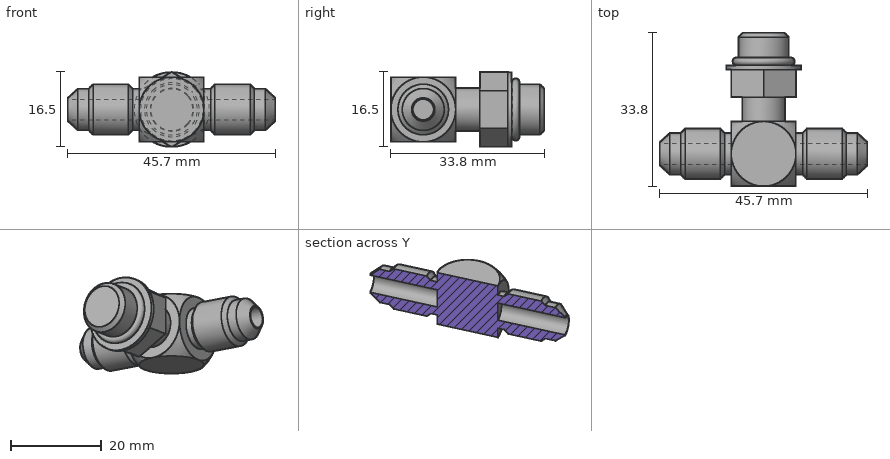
import cadquery as cq
import math

arm_length = 22.85
nose_cone_length = 2.25
collar_outer_end = 18.25
collar_inner_end = 8.6
nose_tip_radius = 2.55
neck_radius = 4.6
collar_radius = 5.6
collar_chamfer = collar_radius - neck_radius
bore_radius = 2.3

body_size = 14.25
body_half = body_size / 2

nut_start = 12.5
nut_end = 18.55
washer_end = 19.48
stem_length = 26.65
stem_neck_radius = 4.75
port_radius = 5.6
port_chamfer = 0.95
nut_corner_diameter = 16.5
o_ring_section_radius = 0.85
o_ring_outer_radius = 6.85


def cylinder_along_y(radius, start, end):
    return cq.Workplane("XZ", origin=(0, start, 0)).circle(radius).extrude(start - end)


def make_body():
    """Cube whose faces are trimmed to circles by a sphere touching its edges."""
    cube = cq.Workplane("XY").box(body_size, body_size, body_size)
    return cube.intersect(cq.Workplane("XY").sphere(body_half * math.sqrt(2)))


def make_arm():
    """Flared arm along +X with a blind bore that stops at the body face."""
    profile = [
        (0, 0),
        (0, neck_radius),
        (collar_inner_end, neck_radius),
        (collar_inner_end + collar_chamfer, collar_radius),
        (collar_outer_end - collar_chamfer, collar_radius),
        (collar_outer_end, neck_radius),
        (arm_length - nose_cone_length, neck_radius),
        (arm_length, nose_tip_radius),
        (arm_length, 0),
    ]
    arm = cq.Workplane("XY").polyline(profile).close().revolve(360, (0, 0, 0), (1, 0, 0))
    bore_depth = arm_length - body_half
    bore = cq.Workplane("YZ", origin=(body_half, 0, 0)).circle(bore_radius).extrude(bore_depth)
    return arm.cut(bore)


def make_stem():
    """Neck, hexagon nut, washer, O-ring and chamfered port end along +Y."""
    neck = cylinder_along_y(stem_neck_radius, 0, nut_start)
    nut = (
        cq.Workplane("XZ", origin=(0, nut_start, 0))
        .transformed(rotate=(0, 0, 90))
        .polygon(6, nut_corner_diameter)
        .extrude(nut_start - nut_end)
    )
    washer = cylinder_along_y(nut_corner_diameter / 2, nut_end, washer_end)
    port = cylinder_along_y(port_radius, washer_end, stem_length).faces(">Y").chamfer(port_chamfer)
    o_ring = (
        cq.Workplane("XY")
        .center(o_ring_outer_radius - o_ring_section_radius, washer_end + o_ring_section_radius)
        .circle(o_ring_section_radius)
        .revolve(360, (o_ring_section_radius - o_ring_outer_radius, 0, 0),
                 (o_ring_section_radius - o_ring_outer_radius, 1, 0))
    )
    return neck.union(nut).union(washer).union(port).union(o_ring)


right_arm = make_arm()
left_arm = right_arm.mirror("YZ")
result = make_body().union(right_arm).union(left_arm).union(make_stem())